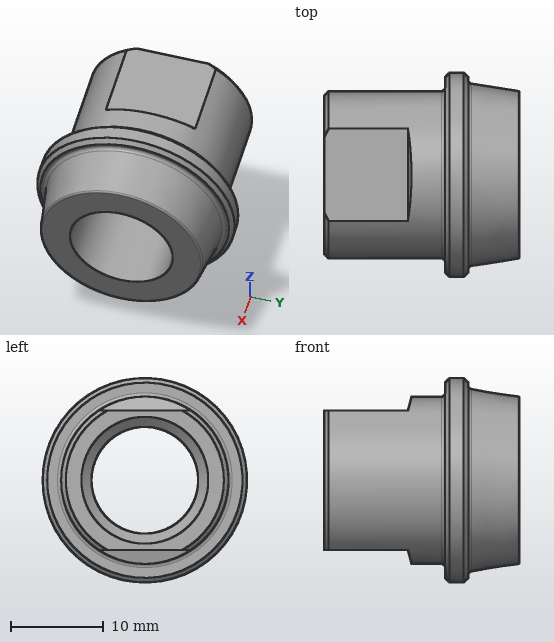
import cadquery as cq
import math

total_length = 21.0
flange_start = 13.0
flange_end = 15.5
flat_length = 9.0

barrel_radius = 18.0 / 2
flange_radius = 22.0 / 2
cone_tip_radius = 9.0
taper_angle = 9.0

barrel_chamfer = 0.5
flange_chamfer = 0.5
root_fillet = 0.4
tip_fillet = 0.2

across_flats = 15.0
flat_runout_angle = 15.0

bore_radius = 11.45 / 2
countersink_radius = 13.65 / 2
countersink_half_angle = 45.0


def make_body():
    """Barrel, flange and tapered nose turned about the X axis."""
    taper = math.radians(taper_angle)
    cone_root_radius = cone_tip_radius + (total_length - flange_end) * math.tan(taper)

    setback_per_radius = math.tan((math.pi / 2 - taper) / 2)
    root_setback = root_fillet * setback_per_radius
    tip_setback = tip_fillet * setback_per_radius
    cone_start = (
        flange_end + root_setback * math.cos(taper),
        cone_root_radius - root_setback * math.sin(taper),
    )
    cone_end = (
        total_length - tip_setback * math.cos(taper),
        cone_tip_radius + tip_setback * math.sin(taper),
    )

    profile = (
        cq.Workplane("XY")
        .moveTo(0, 0)
        .lineTo(0, barrel_radius - barrel_chamfer)
        .lineTo(barrel_chamfer, barrel_radius)
        .lineTo(flange_start - root_fillet, barrel_radius)
        .tangentArcPoint((root_fillet, root_fillet))
        .lineTo(flange_start, flange_radius - flange_chamfer)
        .lineTo(flange_start + flange_chamfer, flange_radius)
        .lineTo(flange_end - flange_chamfer, flange_radius)
        .lineTo(flange_end, flange_radius - flange_chamfer)
        .lineTo(flange_end, cone_root_radius + root_setback)
        .tangentArcPoint(cone_start, relative=False)
        .lineTo(*cone_end)
        .tangentArcPoint((total_length, cone_tip_radius - tip_setback), relative=False)
        .lineTo(total_length, 0)
        .close()
    )
    return profile.revolve(360, (0, 0, 0), (1, 0, 0))


def make_bore():
    """Through bore with a countersink at the barrel end."""
    countersink_depth = (countersink_radius - bore_radius) / math.tan(math.radians(countersink_half_angle))
    profile = (
        cq.Workplane("XY")
        .moveTo(0, 0)
        .lineTo(0, countersink_radius)
        .lineTo(countersink_depth, bore_radius)
        .lineTo(total_length, bore_radius)
        .lineTo(total_length, 0)
        .close()
    )
    return profile.revolve(360, (0, 0, 0), (1, 0, 0))


def make_flat_cutter(side):
    """Material removed for one wrench flat; side is +1 (top) or -1 (bottom)."""
    inner_z = across_flats / 2
    outer_z = flange_radius
    runout = (outer_z - inner_z) * math.tan(math.radians(flat_runout_angle))
    return (
        cq.Workplane("XZ")
        .moveTo(0, side * inner_z)
        .lineTo(flat_length, side * inner_z)
        .lineTo(flat_length + runout, side * outer_z)
        .lineTo(0, side * outer_z)
        .close()
        .extrude(flange_radius, both=True)
    )


result = make_body().cut(make_bore())
for side in (1, -1):
    result = result.cut(make_flat_cutter(side))